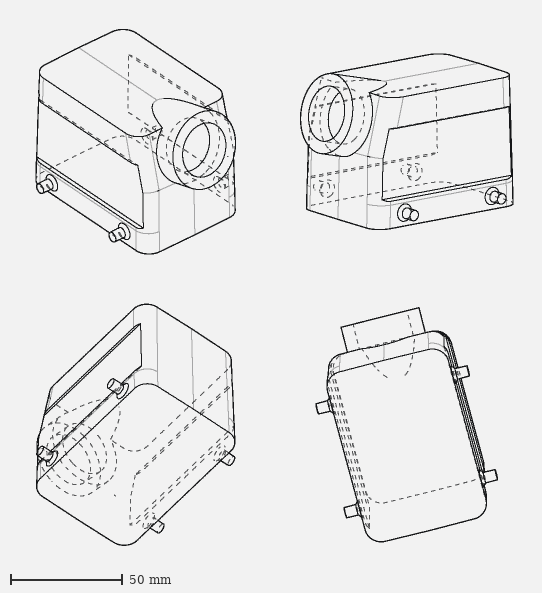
import cadquery as cq
import math

BASE_LENGTH = 82.0
BASE_WIDTH = 56.2
TOP_WIDTH = 54.7
ROOF_HEIGHT = 60.0
BAND_HEIGHT = 10.9
CORNER_RADIUS = 7.5
END_DRAFT = 1.5
PARTING_DRAFT = 0.5

ENTRY_TILT = 15.0
SLOPE_TOP_X = 32.75
MOUTH_X = 47.49
MOUTH_Z = 50.0
ENTRY_DIAMETER = 36.25
BORE_DIAMETER = 25.0
ENTRY_LENGTH = 32.0

RECESS_BOTTOM_Z = 13.8
RECESS_TOP_Z = 45.8
RECESS_BOTTOM_HALF_WIDTH = 26.95
RECESS_TOP_HALF_WIDTH = 26.6

PIN_SPACING = 50.0
PIN_HEIGHT = 6.25
PIN_ROOT_DIAMETER = 5.0
PIN_TIP_DIAMETER = 4.8
PIN_FLARE = 1.5
PIN_SPAN = 70.2

half_base_length = BASE_LENGTH / 2
half_base_width = BASE_WIDTH / 2
end_lean = math.tan(math.radians(END_DRAFT))
parting_fall = math.tan(math.radians(PARTING_DRAFT))
tilt = math.radians(ENTRY_TILT)
outward = cq.Vector(math.cos(tilt), 0, math.sin(tilt))
mouth = cq.Vector(MOUTH_X, 0, MOUTH_Z)
slope_top = cq.Vector(SLOPE_TOP_X, 0, ROOF_HEIGHT)
overrun = BASE_LENGTH


def hood_outline(z, half_width):
    """Six-sided section at height z, slightly pointed on the centre line."""
    tip = half_base_length - end_lean * z
    corner = tip - parting_fall * half_width
    return [
        (tip, 0),
        (corner, half_width),
        (-corner, half_width),
        (-tip, 0),
        (-corner, -half_width),
        (corner, -half_width),
    ]


def hood_section(lower_z, lower_half_width, upper_z, upper_half_width):
    """Solid with flat drafted walls between two outlines."""
    return (
        cq.Workplane("XY", origin=(0, 0, lower_z))
        .polyline(hood_outline(lower_z, lower_half_width)).close()
        .workplane(offset=upper_z - lower_z)
        .polyline(hood_outline(upper_z, upper_half_width)).close()
        .loft(ruled=True)
    )


def roof_trim():
    """Everything above the ridged roof."""
    eaves_z = ROOF_HEIGHT - parting_fall * overrun
    return (
        cq.Workplane("YZ", origin=(-overrun, 0, 0))
        .polyline([
            (0, ROOF_HEIGHT),
            (overrun, eaves_z),
            (overrun, ROOF_HEIGHT + overrun),
            (-overrun, ROOF_HEIGHT + overrun),
            (-overrun, eaves_z),
        ]).close()
        .extrude(2 * overrun)
    )


def slope_trim():
    """Everything outside the sloped end face."""
    plane = cq.Plane(origin=slope_top.toTuple(), xDir=(0, 1, 0), normal=outward.toTuple())
    return cq.Workplane(plane).rect(2 * overrun, 2 * overrun).extrude(overrun)


def is_corner_edge(edge):
    """True for the steep edges between long sides and ends."""
    start = edge.startPoint()
    end = edge.endPoint()
    off_centre = min(abs(start.y), abs(end.y)) > half_base_width / 2
    return off_centre and abs(end.z - start.z) > abs(end.x - start.x)


def hood_body():
    """Drafted body with ridged roof, sloped end and rounded corners."""
    band = hood_section(0, half_base_width, BAND_HEIGHT, half_base_width)
    upper = hood_section(BAND_HEIGHT, half_base_width, ROOF_HEIGHT, TOP_WIDTH / 2)
    plain = band.union(upper, clean=False).cut(roof_trim()).cut(slope_trim())
    corners = [edge for edge in plain.edges().vals() if is_corner_edge(edge)]
    return plain.newObject(corners).fillet(CORNER_RADIUS)


def side_recess(side):
    """Cutter for the recess in the long side at +Y (side = 1) or -Y (side = -1)."""
    lip_drop = half_base_width - RECESS_BOTTOM_HALF_WIDTH
    return (
        cq.Workplane("YZ", origin=(-overrun, 0, 0))
        .polyline([
            (side * half_base_width, RECESS_BOTTOM_Z - lip_drop),
            (side * RECESS_BOTTOM_HALF_WIDTH, RECESS_BOTTOM_Z),
            (side * RECESS_TOP_HALF_WIDTH, RECESS_TOP_Z),
            (side * half_base_width, RECESS_TOP_Z),
        ]).close()
        .extrude(2 * overrun)
    )


def entry_cylinder(diameter, depth):
    """Cylinder running inward from the cable entry mouth."""
    plane = cq.Plane(origin=mouth.toTuple(), xDir=(0, 1, 0), normal=outward.toTuple())
    return cq.Workplane(plane).circle(diameter / 2).extrude(-depth)


def locking_pin(x, side):
    """Slightly tapered round pin on a conical foot, on the long side at +Y or -Y."""
    root_radius = PIN_ROOT_DIAMETER / 2
    foot_radius = root_radius + PIN_FLARE
    wall_y = half_base_width
    embedded_y = wall_y - PIN_FLARE
    tip_y = PIN_SPAN / 2
    pin = (
        cq.Workplane("XY")
        .polyline([
            (0, embedded_y),
            (foot_radius, embedded_y),
            (foot_radius, wall_y),
            (root_radius, wall_y + PIN_FLARE),
            (PIN_TIP_DIAMETER / 2, tip_y),
            (0, tip_y),
        ]).close()
        .revolve(360, (0, 0, 0), (0, 1, 0))
    )
    if side < 0:
        pin = pin.mirror("XZ")
    return pin.translate((x, 0, PIN_HEIGHT))


hood = hood_body()
for side in (1, -1):
    hood = hood.cut(side_recess(side))

bore_depth = (mouth - slope_top).dot(outward)
hood = hood.union(entry_cylinder(ENTRY_DIAMETER, ENTRY_LENGTH))
hood = hood.cut(entry_cylinder(BORE_DIAMETER, bore_depth))

for side in (1, -1):
    for x in (-PIN_SPACING / 2, PIN_SPACING / 2):
        hood = hood.union(locking_pin(x, side))

result = hood